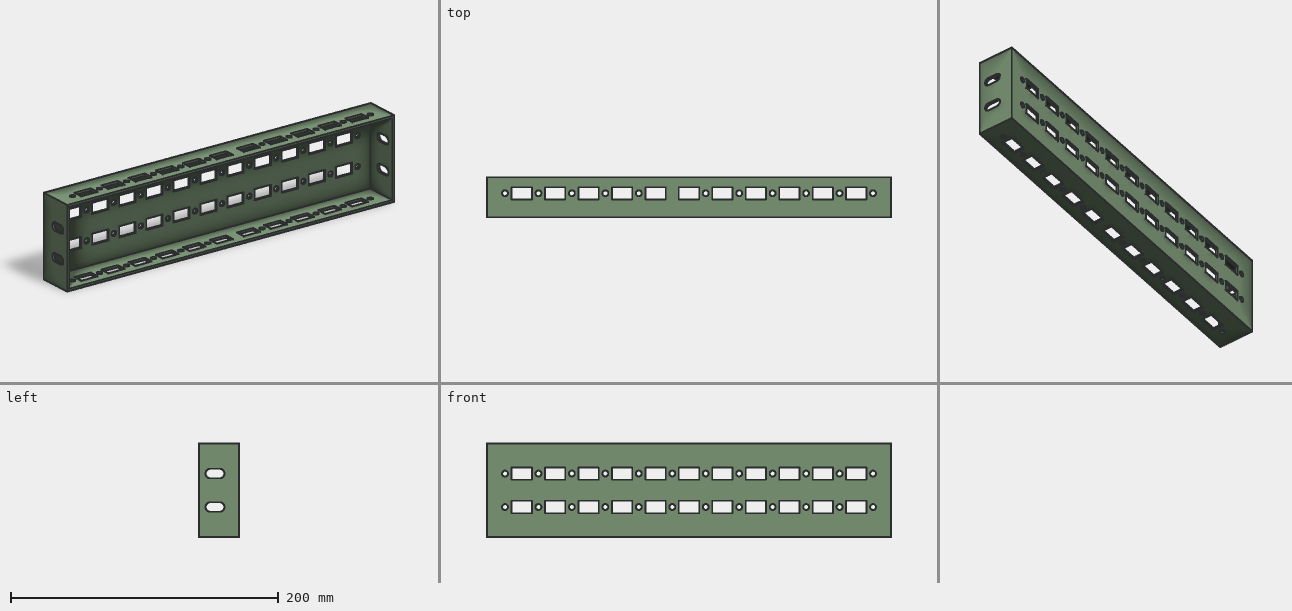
import cadquery as cq

LENGTH = 302.0
DEPTH = 30.0
HEIGHT = 70.0
WALL = 2.0

PITCH = 25.0
WINDOW_COUNT = 11
WINDOW_LENGTH = 15.0
WINDOW_WIDTH = 9.0
HOLE_DIAMETER = 4.25
ROW_HEIGHTS = [-PITCH / 2, PITCH / 2]

FLANGE_ROW_TO_BACK = 12.0
FLANGE_ROW_Y = DEPTH / 2 - FLANGE_ROW_TO_BACK

END_SLOT_LENGTH = 14.0
END_SLOT_HEIGHT = 7.0

WINDOW_POSITIONS = [(i - (WINDOW_COUNT - 1) / 2) * PITCH for i in range(WINDOW_COUNT)]
HOLE_POSITIONS = [(i - WINDOW_COUNT / 2) * PITCH for i in range(WINDOW_COUNT + 1)]

FLANGE_HOLE_POSITIONS = [x for x in HOLE_POSITIONS if x != -PITCH / 2]


def tray():
    """Box with five walls, open at the back."""
    outer = cq.Workplane("XY").box(LENGTH, DEPTH, HEIGHT)
    cavity = (
        cq.Workplane("XY")
        .box(LENGTH - 2 * WALL, DEPTH, HEIGHT - 2 * WALL)
        .translate((0, WALL, 0))
    )
    return outer.cut(cavity)


def punch_row(plane, row, hole_positions, punch_length):
    """Cutters for one row of windows and holes, extruded evenly to both sides of the plane."""
    windows = (
        cq.Workplane(plane)
        .pushPoints([(x, row) for x in WINDOW_POSITIONS])
        .rect(WINDOW_LENGTH, WINDOW_WIDTH)
        .extrude(punch_length / 2, both=True)
    )
    holes = (
        cq.Workplane(plane)
        .pushPoints([(x, row) for x in hole_positions])
        .circle(HOLE_DIAMETER / 2)
        .extrude(punch_length / 2, both=True)
    )
    return windows.add(holes).combine()


def end_slots():
    """Cutters for the slots, running through both end flanges."""
    return (
        cq.Workplane("YZ")
        .pushPoints([(FLANGE_ROW_Y, z) for z in ROW_HEIGHTS])
        .slot2D(END_SLOT_LENGTH, END_SLOT_HEIGHT)
        .extrude(LENGTH / 2, both=True)
    )


result = tray()
for row_z in ROW_HEIGHTS:
    result = result.cut(punch_row("XZ", row_z, HOLE_POSITIONS, DEPTH))
result = result.cut(punch_row("XY", FLANGE_ROW_Y, FLANGE_HOLE_POSITIONS, HEIGHT))
result = result.cut(end_slots())